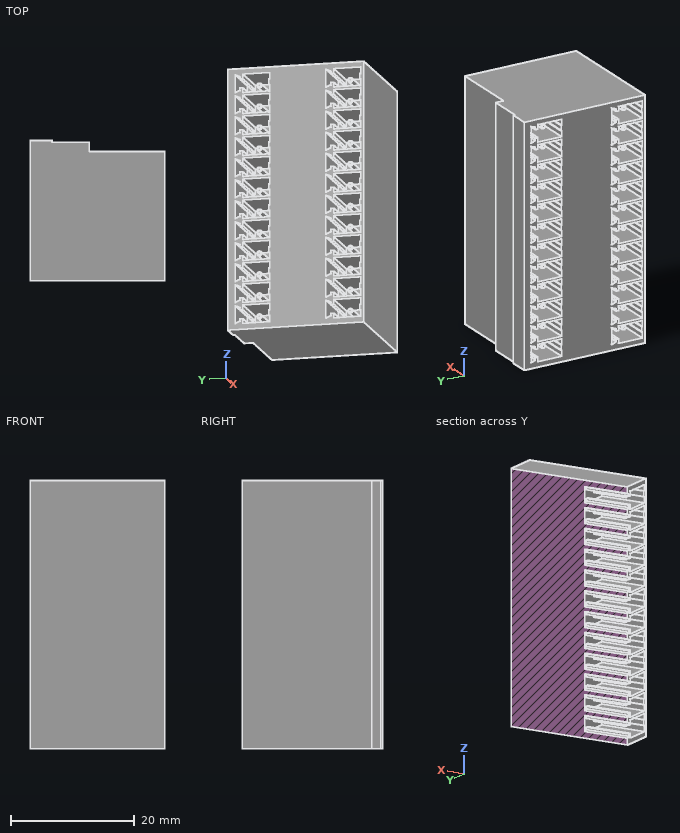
import cadquery as cq

width = 21.9
depth = 22.8
height = 43.5

lip_end = 3.55
lip_drop = 0.3
shelf_end = 9.6
shelf_drop = 1.8

socket_count = 12
first_pin_z = 2.52
pin_span_z = 38.5
socket_pitch = pin_span_z / (socket_count - 1)
front_pin_y = 2.8
column_spacing = 15.22

socket_depth = 8.0
chamber_front = -2.25
chamber_back = 2.2
chamber_half_height = 1.52
throat_back = 2.7
throat_half_height = 0.75
tail_back = 3.52
tail_half_height_front = 1.15
tail_half_height_back = 1.5

rib_half_height = 0.5
rib_rise = 0.15

pin_radius = 0.4
pin_tip_chamfer = 0.15
pin_recess = 2.0


def make_housing():
    outline = [
        (0, 0),
        (width, 0),
        (width, depth - shelf_drop),
        (shelf_end, depth - shelf_drop),
        (shelf_end, depth - lip_drop),
        (lip_end, depth - lip_drop),
        (lip_end, depth),
        (0, depth),
    ]
    return cq.Workplane("XY").polyline(outline).close().extrude(height)


def make_socket():
    """Cutter for one socket: the keyed chamber and its dovetail, less the pin that stays standing."""
    upper_half = [
        (chamber_front + rib_rise, rib_half_height),
        (chamber_front, rib_half_height),
        (chamber_front, chamber_half_height),
        (chamber_back, chamber_half_height),
        (chamber_back, throat_half_height),
        (throat_back, throat_half_height),
        (throat_back, tail_half_height_front),
        (tail_back, tail_half_height_back),
    ]
    lower_half = [(y, -z) for y, z in reversed(upper_half)]
    cavity = cq.Workplane("YZ").polyline(upper_half + lower_half).close().extrude(socket_depth)
    pin = (
        cq.Workplane("YZ", origin=(pin_recess, 0, 0))
        .circle(pin_radius)
        .extrude(socket_depth - pin_recess)
        .faces("<X")
        .chamfer(pin_tip_chamfer)
    )
    return cavity.cut(pin)


def cut_sockets(housing):
    socket = make_socket().val()
    cutters = []
    for pin_y in (front_pin_y, front_pin_y + column_spacing):
        for row in range(socket_count):
            pin_z = first_pin_z + row * socket_pitch
            cutters.append(socket.moved(cq.Location(cq.Vector(0, pin_y, pin_z))))
    return housing.cut(cq.Compound.makeCompound(cutters))


result = cut_sockets(make_housing())